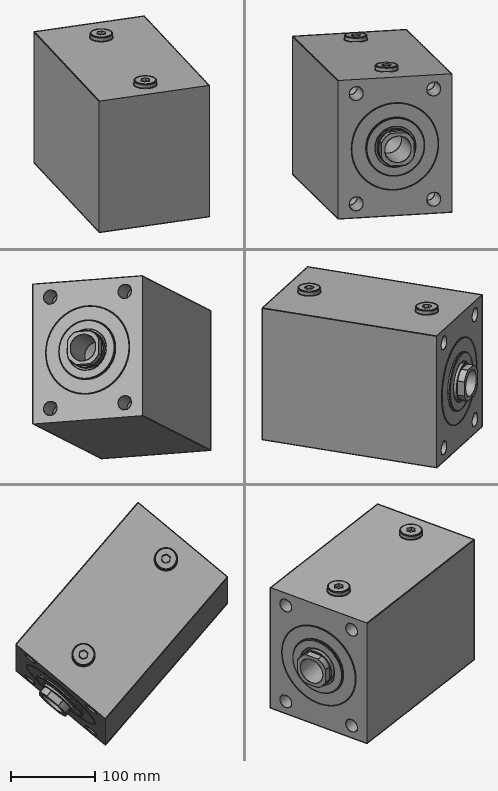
import cadquery as cq
import math


overall_length = 240.0
rod_projection = 15.0
housing_length = overall_length - rod_projection
housing_width = 140.0
housing_height = 170.0
long_edge_chamfer = 0.5

mount_diameter = 17.0
mount_spacing_y = 95.0
mount_spacing_z = 135.0
mount_depth = 30.0

gland_diameter = 107.0
gland_depth = 72.0
gland_edge_chamfer = 0.7
boss_diameter = 72.0
boss_projection = 3.0
boss_chamfer = 1.0
wiper_recess_diameter = 50.0
wiper_recess_depth = 2.5

rod_diameter = 45.0
rod_chamfer = 0.5
rod_end_length = 9.0
rod_end_diameter = rod_diameter - 2 * rod_chamfer
across_flats = 40.0
rod_bore_diameter = 32.5
rod_bore_depth = 48.0

drill_point_angle = 118.0

plug_projection = 5.0
plug_head_diameter = 27.0
plug_head_chamfer = 1.0
plug_shank_diameter = 21.0
plug_shank_length = 12.0
plug_seat_diameter = 27.8
plug_seat_depth = 1.0
hex_across_flats = 9.5
hex_depth = 4.0
first_plug_x = 42.0
plug_spacing = 152.0

housing_top = housing_height / 2
plug_positions = [first_plug_x, first_plug_x + plug_spacing]


def cylinder_along_x(diameter, start_x, end_x):
    """Cylinder on the X axis between two X positions."""
    return cq.Workplane("YZ", origin=(start_x, 0, 0)).circle(diameter / 2).extrude(end_x - start_x)


def drilled_hole(diameter, depth, start_x, y=0, z=0):
    """Blind hole running toward +X, with a conical drill point beyond its full-diameter depth."""
    radius = diameter / 2
    point_depth = radius / math.tan(math.radians(drill_point_angle / 2))
    profile = (
        cq.Workplane("XY")
        .moveTo(0, 0)
        .lineTo(0, radius)
        .lineTo(depth, radius)
        .lineTo(depth + point_depth, 0)
        .close()
    )
    return profile.revolve(360, (0, 0, 0), (1, 0, 0)).translate((start_x, y, z))


def cylinder_below(diameter, x, top_z, depth):
    """Upright cylinder reaching down from top_z."""
    return cq.Workplane("XY", origin=(x, 0, top_z)).circle(diameter / 2).extrude(-depth)


def make_housing():
    housing = cq.Workplane("XY").box(
        housing_length, housing_width, housing_height, centered=(False, True, True)
    )
    housing = housing.edges("|X").chamfer(long_edge_chamfer)
    housing = housing.cut(cylinder_along_x(gland_diameter, 0, gland_depth))
    for side_y in (-1, 1):
        for side_z in (-1, 1):
            hole_y = side_y * mount_spacing_y / 2
            hole_z = side_z * mount_spacing_z / 2
            housing = housing.cut(drilled_hole(mount_diameter, mount_depth, 0, hole_y, hole_z))
    for x in plug_positions:
        housing = housing.cut(cylinder_below(plug_seat_diameter, x, housing_top, plug_seat_depth))
        port_depth = plug_seat_depth + plug_shank_length
        housing = housing.cut(cylinder_below(plug_shank_diameter, x, housing_top, port_depth))
    return housing


def make_gland():
    disc = cylinder_along_x(gland_diameter, 0, gland_depth).faces("<X").chamfer(gland_edge_chamfer)
    boss = cylinder_along_x(boss_diameter, -boss_projection, gland_depth).faces("<X").chamfer(boss_chamfer)
    wiper_recess = cylinder_along_x(
        wiper_recess_diameter, -boss_projection, wiper_recess_depth - boss_projection
    )
    rod_passage = cylinder_along_x(rod_diameter, -boss_projection, gland_depth)
    return disc.union(boss).cut(wiper_recess).cut(rod_passage)


def make_piston_rod():
    shoulder_x = rod_end_length - rod_projection
    shank = cylinder_along_x(rod_diameter, shoulder_x, gland_depth).faces("<X").chamfer(rod_chamfer)
    flats = (
        cq.Workplane("YZ", origin=(-rod_projection, 0, 0))
        .rect(across_flats, across_flats)
        .extrude(rod_end_length)
    )
    rod_end = cylinder_along_x(rod_end_diameter, -rod_projection, shoulder_x).intersect(flats)
    bore = drilled_hole(rod_bore_diameter, rod_bore_depth, -rod_projection)
    return shank.union(rod_end).cut(bore)


def make_plug(x):
    plug_top = housing_top + plug_projection
    head_height = plug_projection + plug_seat_depth
    head = cylinder_below(plug_head_diameter, x, plug_top, head_height)
    head = head.faces(">Z").chamfer(plug_head_chamfer)
    shank = cylinder_below(plug_shank_diameter, x, housing_top - plug_seat_depth, plug_shank_length)
    hex_across_corners = hex_across_flats / math.cos(math.pi / 6)
    hex_socket = (
        cq.Workplane("XY", origin=(x, 0, plug_top))
        .transformed(rotate=(0, 0, 90))
        .polygon(6, hex_across_corners)
        .extrude(-hex_depth)
    )
    return head.union(shank).cut(hex_socket)


housing = make_housing()
gland = make_gland()
piston_rod = make_piston_rod()
plugs = [make_plug(x) for x in plug_positions]

result = cq.Compound.makeCompound(
    [housing.val(), gland.val(), piston_rod.val(), *[plug.val() for plug in plugs]]
)